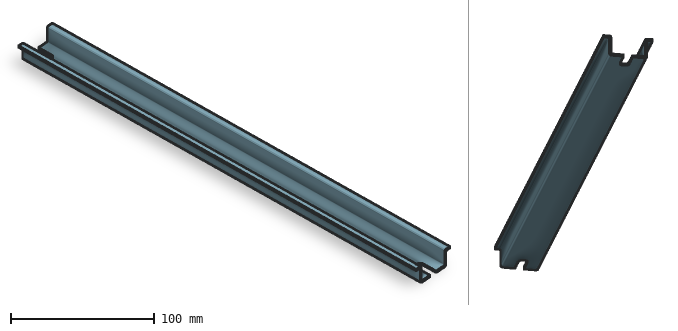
import cadquery as cq

length = 375.0
width = 35.0
height = 15.0
thickness = 1.5
channel_width = 27.0
floor_inner_radius = 0.6
floor_outer_radius = floor_inner_radius + thickness
flange_inner_radius = 0.8
flange_outer_radius = 1.7

slot_width = 6.5
slot_depth = 15.5

half_channel = channel_width / 2
half_cavity = half_channel - thickness


def make_rail():
    """Bent-sheet hat section extruded along the length, with rounded bends."""
    right_side = [
        (half_channel, 0),
        (half_channel, height - thickness),
        (width / 2, height - thickness),
        (width / 2, height),
        (half_cavity, height),
        (half_cavity, thickness),
    ]
    left_side = [(-y, z) for y, z in reversed(right_side)]
    rail = (
        cq.Workplane("YZ")
        .polyline(right_side + left_side)
        .close()
        .extrude(length / 2, both=True)
    )
    for side in (-1, 1):
        bends = [
            (half_channel, 0, floor_outer_radius),
            (half_cavity, thickness, floor_inner_radius),
            (half_cavity, height, flange_outer_radius),
            (half_channel, height - thickness, flange_inner_radius),
        ]
        for y, z, radius in bends:
            corner = cq.selectors.NearestToPointSelector((0, side * y, z))
            rail = rail.edges("|X").edges(corner).fillet(radius)
    return rail


def make_slot(end):
    """Cutter for the round-bottomed slot at one end (-1 or 1)."""
    slot_radius = slot_width / 2
    end_x = end * length / 2
    arc_x = end_x - end * (slot_depth - slot_radius)
    return (
        cq.Workplane("XY")
        .moveTo(end_x, -slot_radius)
        .lineTo(arc_x, -slot_radius)
        .threePointArc((end_x - end * slot_depth, 0), (arc_x, slot_radius))
        .lineTo(end_x, slot_radius)
        .close()
        .extrude(height)
    )


result = make_rail()
for end in (-1, 1):
    result = result.cut(make_slot(end))